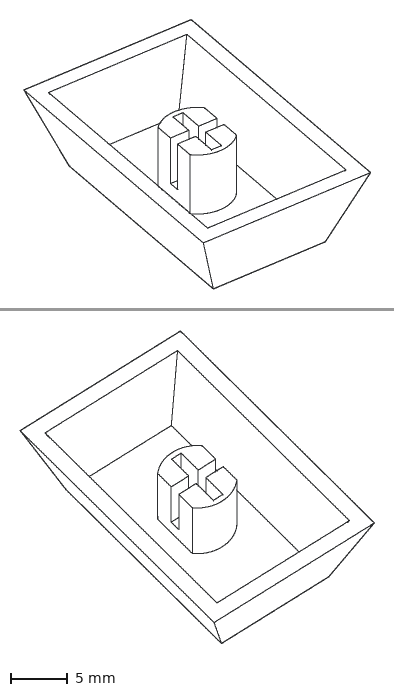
import cadquery as cq

top_length = 27.5
top_width = 18.0
base_length = 22.08
base_width = 12.05
height = 8.0

rim = 1.57
cavity_floor_length = 19.9
cavity_floor_width = 9.95
floor_thickness = 1.5

stem_diameter = 7.0
stem_width = 5.0
stem_top = height
slot_width = 1.07
slot_length = 5.9
socket_depth = 5.0
socket_floor = stem_top - socket_depth


def tapered_block(bottom_z, bottom_size, top_z, top_size):
    """Solid lofted between two centred rectangles."""
    return (
        cq.Workplane("XY")
        .workplane(offset=bottom_z)
        .rect(*bottom_size)
        .workplane(offset=top_z - bottom_z)
        .rect(*top_size)
        .loft(ruled=True)
    )


def centred_box(length, width, bottom_z, top_z):
    """Box centred on the Z axis between two heights."""
    return cq.Workplane("XY").workplane(offset=bottom_z).rect(length, width).extrude(top_z - bottom_z)


def make_tray():
    outside = tapered_block(0, (base_length, base_width), height, (top_length, top_width))
    cavity = tapered_block(
        floor_thickness,
        (cavity_floor_length, cavity_floor_width),
        height,
        (top_length - 2 * rim, top_width - 2 * rim),
    )
    return outside.cut(cavity)


def make_stem():
    cylinder = cq.Workplane("XY").circle(stem_diameter / 2).extrude(stem_top)
    stem = cylinder.intersect(centred_box(stem_diameter, stem_width, 0, stem_top))
    long_slot = centred_box(slot_length, slot_width, socket_floor, stem_top)
    cross_slot = centred_box(slot_width, stem_width, socket_floor, stem_top)
    return stem.cut(long_slot).cut(cross_slot)


result = make_tray().union(make_stem())